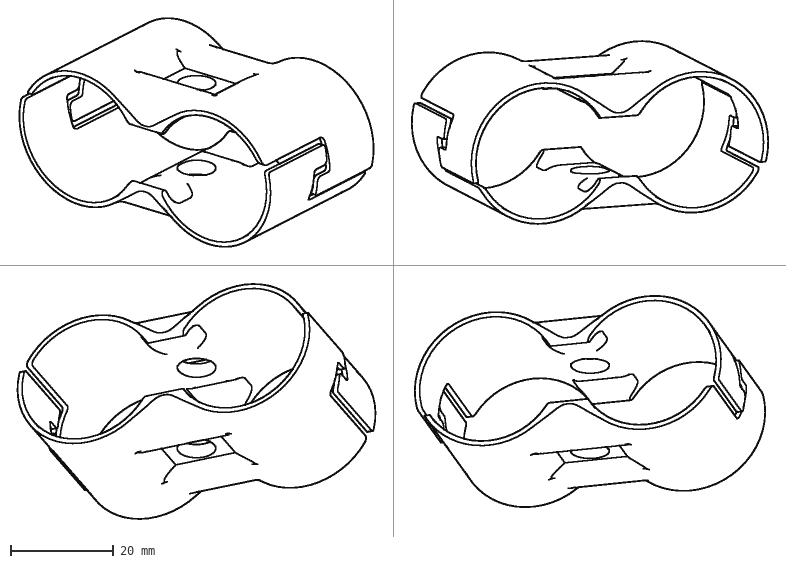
import cadquery as cq
import math

LENGTH = 62.0
DEPTH = 33.0
HALF_DEPTH = DEPTH / 2
BORE_RADIUS = 14.0
WALL = 1.0
OUTER_RADIUS = BORE_RADIUS + WALL
TUBE_X = LENGTH / 2 - OUTER_RADIUS
TUBE_DROP = 1.0

LIP_Z = 6.0
LIP_ROUND = 1.0
PLATEAU_Z = 7.5
PLATEAU_FILLET = 5.0
SADDLE_Z = 10.5
HOLE_DIAMETER = 7.5

BEAD_Z = 12.6
BEAD_TOP_START = 6.65
BEAD_TOP_END = 11.65
BEAD_INNER_ROUND = BEAD_Z - SADDLE_Z
BEAD_OUTER_ROUND = 3.95
NOSE_TOP_Z = 10.0
NOSE_BEND_Y = 15.6
NOSE_BEND_Z = 9.4
NOSE_FOOT_Z = LIP_Z + WALL
BEAD_FILLET = 3.0

POCKET_Z = 8.9
POCKET_START = 6.7
POCKET_FLAT_START = 10.0
POCKET_FOOT_ROUND = 2.0
LIP_INNER_ROUND = 0.6
POCKET_END = HALF_DEPTH - LIP_ROUND - LIP_INNER_ROUND

GAP = 1.0
TONGUE_REACH = 5.0
SLOT_Z = TONGUE_REACH + GAP
TONGUE_END_Y = -1.5
SLOT_WALL_Y = -TONGUE_END_Y + GAP
HOOK_Z = -0.9
TONGUE_ROUND = 0.6
HOOK_ROUND = 1.0
SLOT_ROUND = 0.8

OVERRUN = 3.1


def along_y(outline, half_length):
    return outline.extrude(half_length, both=True)


def tube_outline(radius):
    return cq.Workplane("XZ").center(TUBE_X, -TUBE_DROP).circle(radius)


def both_sides(half, plane):
    return half.union(half.mirror(plane))


def shoulder_point(fall_angle):
    """Point (Y, Z) on the bead's outer rounding, fall_angle radians past its top."""
    center_z = BEAD_Z - BEAD_OUTER_ROUND
    y = BEAD_TOP_END + BEAD_OUTER_ROUND * math.sin(fall_angle)
    return y, center_z + BEAD_OUTER_ROUND * math.cos(fall_angle)


def blended_bead(tube):
    """The tube with the +Y bead filleted into it, the bead still running on past the saddle."""
    nose_angle = math.acos(1 - (BEAD_Z - NOSE_TOP_Z) / BEAD_OUTER_ROUND)
    nose_y, nose_z = shoulder_point(nose_angle)
    nose_slope = (HALF_DEPTH - NOSE_BEND_Y) / (NOSE_BEND_Z - NOSE_FOOT_Z)
    nose_base_y = NOSE_BEND_Y + nose_slope * NOSE_BEND_Z
    bar = (
        cq.Workplane("YZ", origin=(-OVERRUN, 0, 0))
        .moveTo(-OVERRUN, 0)
        .lineTo(-OVERRUN, BEAD_Z)
        .lineTo(BEAD_TOP_END, BEAD_Z)
        .threePointArc(shoulder_point(nose_angle / 2), (nose_y, nose_z))
        .lineTo(NOSE_BEND_Y, NOSE_BEND_Z)
        .lineTo(nose_base_y, 0)
        .close()
        .extrude(TUBE_X + OVERRUN)
    )
    junction = cq.selectors.BoxSelector((0, 0, 0.6), (TUBE_X, nose_base_y, BEAD_Z + 0.6))
    return tube.union(bar).edges("not |X").edges(junction).fillet(BEAD_FILLET)


def saddle_space(tube):
    """Space above the saddle, up to the bead's rounded inner flank and outside the tube."""
    inner_wall_y = BEAD_TOP_START - BEAD_INNER_ROUND
    arc_inset = BEAD_INNER_ROUND * (1 - math.sqrt(0.5))
    space = (
        cq.Workplane("YZ", origin=(-OVERRUN, 0, 0))
        .moveTo(-OVERRUN, SADDLE_Z)
        .lineTo(inner_wall_y, SADDLE_Z)
        .threePointArc((inner_wall_y + arc_inset, BEAD_Z - arc_inset), (BEAD_TOP_START, BEAD_Z))
        .lineTo(BEAD_TOP_START, BEAD_Z + OVERRUN)
        .lineTo(-OVERRUN, BEAD_Z + OVERRUN)
        .close()
        .extrude(TUBE_X + OVERRUN)
    )
    return space.cut(tube)


def outer_form():
    """Solid shape of both tubes, the web and the beads, without any inner space."""
    tube = along_y(tube_outline(OUTER_RADIUS), LENGTH / 2)
    quarter_limits = cq.Workplane("XY").box(LENGTH, HALF_DEPTH, LENGTH, centered=(False, False, True))
    quarter = blended_bead(tube).cut(saddle_space(tube)).intersect(quarter_limits)
    return both_sides(both_sides(quarter, "XZ"), "YZ")


def web_lip_space():
    """Everything below the web's lips, with the rounding of the lips' outer edges."""
    round_start = HALF_DEPTH - LIP_ROUND
    round_z = LIP_Z + LIP_ROUND
    arc_inset = LIP_ROUND * (1 - math.sqrt(0.5))
    half = (
        cq.Workplane("YZ")
        .moveTo(0, -OUTER_RADIUS - OVERRUN)
        .lineTo(0, LIP_Z)
        .lineTo(round_start, LIP_Z)
        .threePointArc((HALF_DEPTH - arc_inset, LIP_Z + arc_inset), (HALF_DEPTH, round_z))
        .lineTo(HALF_DEPTH, -OUTER_RADIUS - OVERRUN)
        .close()
        .extrude(TUBE_X, both=True)
    )
    return both_sides(half, "XZ")


def plateau_space():
    """Space below the plateau, which rounds over into both bores."""
    center_z = PLATEAU_Z + PLATEAU_FILLET
    rise = center_z + TUBE_DROP
    reach = BORE_RADIUS + PLATEAU_FILLET
    run = math.sqrt(reach**2 - rise**2)
    center_x = TUBE_X - run
    tangent = (TUBE_X - run * BORE_RADIUS / reach, rise * BORE_RADIUS / reach - TUBE_DROP)
    mid_angle = math.atan2(rise, run) / 2 + math.pi / 4
    arc_middle = (
        center_x + PLATEAU_FILLET * math.cos(mid_angle),
        center_z - PLATEAU_FILLET * math.sin(mid_angle),
    )
    half = (
        cq.Workplane("XZ")
        .moveTo(0, 0)
        .lineTo(0, PLATEAU_Z)
        .lineTo(center_x, PLATEAU_Z)
        .threePointArc(arc_middle, tangent)
        .lineTo(TUBE_X, 0)
        .close()
        .extrude(POCKET_FLAT_START, both=True)
    )
    return both_sides(half, "YZ")


def pocket_space():
    """Space of the pocket under the +Y bead, open to both bores."""
    ramp_middle = ((POCKET_START + POCKET_FLAT_START) / 2, (PLATEAU_Z + POCKET_Z) / 2)
    foot_z = POCKET_Z - POCKET_FOOT_ROUND
    foot_inset = POCKET_FOOT_ROUND * (1 - math.sqrt(0.5))
    brow_z = LIP_Z + LIP_INNER_ROUND
    brow_inset = LIP_INNER_ROUND * (1 - math.sqrt(0.5))
    return (
        cq.Workplane("YZ")
        .moveTo(POCKET_START - WALL, 0)
        .lineTo(POCKET_START - WALL, PLATEAU_Z)
        .lineTo(POCKET_START, PLATEAU_Z)
        .tangentArcPoint(ramp_middle, relative=False)
        .tangentArcPoint((POCKET_FLAT_START, POCKET_Z), relative=False)
        .lineTo(POCKET_END - POCKET_FOOT_ROUND, POCKET_Z)
        .threePointArc((POCKET_END - foot_inset, POCKET_Z - foot_inset), (POCKET_END, foot_z))
        .lineTo(POCKET_END, brow_z)
        .threePointArc((POCKET_END + brow_inset, LIP_Z + brow_inset), (POCKET_END + LIP_INNER_ROUND, LIP_Z))
        .lineTo(POCKET_END + LIP_INNER_ROUND, 0)
        .close()
        .extrude(TUBE_X, both=True)
    )


def parting_region():
    """Region of the upper shell, bounded below by the hooked parting line that runs along X."""
    rounded_corners = [
        (-HALF_DEPTH, SLOT_Z, LIP_ROUND),
        (SLOT_WALL_Y, SLOT_Z, SLOT_ROUND),
        (SLOT_WALL_Y, HOOK_Z, TONGUE_ROUND),
        (TONGUE_END_Y, HOOK_Z, HOOK_ROUND),
        (TONGUE_END_Y, -TONGUE_REACH, TONGUE_ROUND),
        (HALF_DEPTH, -TONGUE_REACH, TONGUE_ROUND),
    ]
    top_corners = [(HALF_DEPTH, OUTER_RADIUS), (-HALF_DEPTH, OUTER_RADIUS)]
    outline = [(y, z) for y, z, _ in rounded_corners] + top_corners
    region = cq.Workplane("YZ").polyline(outline).close().extrude(LENGTH / 2, both=True)
    for y, z, radius in rounded_corners:
        region = region.edges("|X").edges(cq.selectors.NearestToPointSelector((0, y, z))).fillet(radius)
    return region


def upper_shell():
    shell = outer_form()
    shell = shell.cut(both_sides(along_y(tube_outline(BORE_RADIUS), HALF_DEPTH), "YZ"))
    shell = shell.cut(web_lip_space())
    shell = shell.cut(plateau_space())
    shell = shell.cut(both_sides(pocket_space(), "XZ"))
    shell = shell.intersect(parting_region())
    return shell.cut(cq.Workplane("XY").circle(HOLE_DIAMETER / 2).extrude(BEAD_Z))


upper = upper_shell()
lower = upper.rotate((0, 0, 0), (1, 0, 0), 180)

result = cq.Compound.makeCompound([upper.val(), lower.val()])